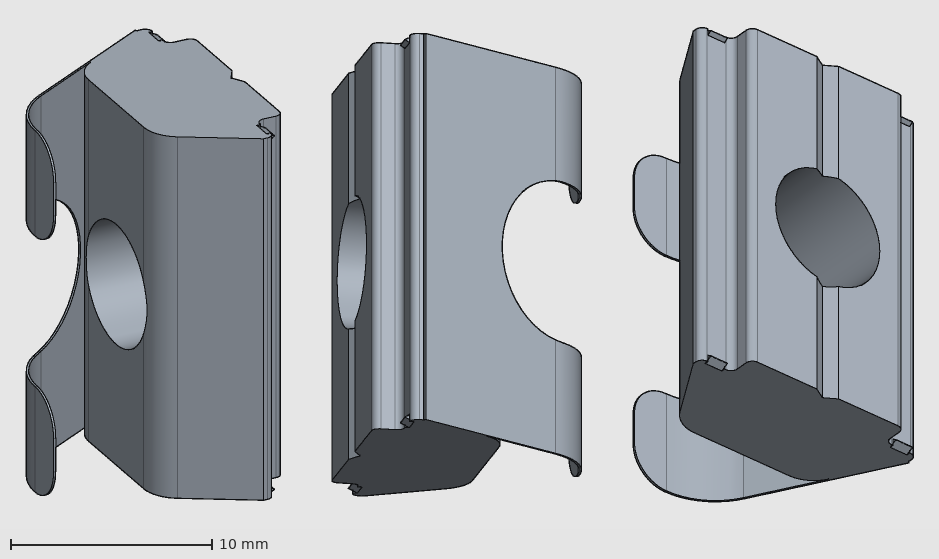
import cadquery as cq
import math

LENGTH = 20.0
HALF_WIDTH = 6.88
BODY_DEPTH = 6.82
STEP_DEPTH = 1.5
NECK_HALF_WIDTH = 4.88
FLANK_ANGLE = math.radians(60)
FRONT_HALF_WIDTH = 4.15
FRONT_RADIUS = 2.0
CORNER_RADIUS = 0.4
NOTCH_HALF_WIDTH = 0.7
NOTCH_DEPTH = 0.42
HOLE_DIAMETER = 6.65

BURR_WIDTH = 1.05
BURR_CENTRE_X = 5.9
BURR_INNER_Y = -1.72
BURR_TIP_Y = -1.25
BURR_TIP_DROP = 0.22
BURR_ROOT_DROP = 0.38

SPRING_THICKNESS = 0.12
SPRING_BEND_RADIUS = 4.0
SPRING_FRONT_Y = -11.8
SPRING_END_X = 2.92
SPRING_TOP_X = -6.85
WINDOW_RADIUS = 4.15
WINDOW_TOP_Y = -6.62
TAB_CORNER_RADIUS = 2.0

FLANK_SLOPE = math.tan(FLANK_ANGLE)
SIN_FLANK = math.sin(FLANK_ANGLE)
COS_FLANK = math.cos(FLANK_ANGLE)
CUT_MARGIN = 2.0
EDGE_TOLERANCE = 0.05


def left_flank_x(y):
    """X of the left flank plane at the given Y."""
    return -FRONT_HALF_WIDTH - (y + BODY_DEPTH) / FLANK_SLOPE


def make_body():
    flank_top_y = (HALF_WIDTH - FRONT_HALF_WIDTH) * FLANK_SLOPE - BODY_DEPTH
    right_side = [
        (NOTCH_HALF_WIDTH, 0),
        (NECK_HALF_WIDTH, 0),
        (NECK_HALF_WIDTH, -STEP_DEPTH),
        (HALF_WIDTH, -STEP_DEPTH),
        (HALF_WIDTH, flank_top_y),
        (FRONT_HALF_WIDTH, -BODY_DEPTH),
    ]
    left_side = [(-x, y) for x, y in reversed(right_side)]
    outline = [(0, -NOTCH_DEPTH)] + right_side + left_side
    body = cq.Workplane("XY").polyline(outline).close().extrude(LENGTH)

    def edges_at(half_width, y):
        return body.edges("|Z").filter(
            lambda e: math.hypot(abs(e.Center().x) - half_width, e.Center().y - y) < EDGE_TOLERANCE
        )

    body = edges_at(FRONT_HALF_WIDTH, -BODY_DEPTH).fillet(FRONT_RADIUS)
    for half_width, y in right_side[1:4]:
        body = edges_at(half_width, y).fillet(CORNER_RADIUS)
    return body


def make_hole():
    return (
        cq.Workplane("XZ", origin=(0, 0, LENGTH / 2))
        .circle(HOLE_DIAMETER / 2)
        .extrude(BODY_DEPTH)
    )


def add_burrs(body):
    """Cut the slope and raise the lip at both ends of both shoulders."""
    slope_start = (BURR_INNER_Y, LENGTH)
    tip = (BURR_TIP_Y, LENGTH - BURR_TIP_DROP)
    slope_cut = [slope_start, (BURR_TIP_Y, LENGTH), tip]
    lip = [slope_start, tip, (-STEP_DEPTH, LENGTH - BURR_ROOT_DROP)]
    for side in (-1, 1):
        plane = cq.Workplane("YZ", origin=(side * BURR_CENTRE_X - BURR_WIDTH / 2, 0, 0))
        cutter = plane.polyline(slope_cut).close().extrude(BURR_WIDTH)
        raised = plane.polyline(lip).close().extrude(BURR_WIDTH)
        mid_height = (0, 0, LENGTH / 2)
        body = body.cut(cutter).union(raised)
        body = body.cut(cutter.mirror("XY", mid_height)).union(raised.mirror("XY", mid_height))
    return body


def make_spring_strip():
    """Full-length strip: flank leg, 60 degree bend and flat front tab."""
    inner_radius = SPRING_BEND_RADIUS - SPRING_THICKNESS
    centre_y = SPRING_FRONT_Y + SPRING_BEND_RADIUS
    bend_inner_y = centre_y - inner_radius * COS_FLANK
    centre_x = left_flank_x(bend_inner_y) + inner_radius * SIN_FLANK

    def bend_point(radius, angle):
        return (centre_x - radius * math.sin(angle), centre_y - radius * math.cos(angle))

    top_y = -BODY_DEPTH - (SPRING_TOP_X + FRONT_HALF_WIDTH) * FLANK_SLOPE
    outer_top = (SPRING_TOP_X - SPRING_THICKNESS * SIN_FLANK, top_y - SPRING_THICKNESS * COS_FLANK)
    return (
        cq.Workplane("XY")
        .moveTo(SPRING_TOP_X, top_y)
        .lineTo(*bend_point(inner_radius, FLANK_ANGLE))
        .threePointArc(bend_point(inner_radius, FLANK_ANGLE / 2), bend_point(inner_radius, 0))
        .lineTo(SPRING_END_X, SPRING_FRONT_Y + SPRING_THICKNESS)
        .lineTo(SPRING_END_X, SPRING_FRONT_Y)
        .lineTo(*bend_point(SPRING_BEND_RADIUS, 0))
        .threePointArc(
            bend_point(SPRING_BEND_RADIUS, FLANK_ANGLE / 2),
            bend_point(SPRING_BEND_RADIUS, FLANK_ANGLE),
        )
        .lineTo(*outer_top)
        .close()
        .extrude(LENGTH)
    )


def make_window():
    """Round-ended cutter, square to the flank, that opens toward the tab."""
    centre_y = WINDOW_TOP_Y - WINDOW_RADIUS * SIN_FLANK
    start_x = left_flank_x(centre_y)
    plane = cq.Plane(
        origin=(start_x, centre_y, LENGTH / 2),
        xDir=(COS_FLANK, -SIN_FLANK, 0),
        normal=(SIN_FLANK, COS_FLANK, 0),
    )
    round_end = cq.Workplane(plane).circle(WINDOW_RADIUS).extrude(CUT_MARGIN, both=True)
    opening = cq.Workplane("XY").box(
        SPRING_END_X - start_x + CUT_MARGIN,
        centre_y - SPRING_FRONT_Y + CUT_MARGIN,
        2 * WINDOW_RADIUS,
        centered=(False, False, True),
    ).translate((start_x, SPRING_FRONT_Y - CUT_MARGIN, LENGTH / 2))
    return round_end.union(opening)


def make_spring():
    spring = make_spring_strip().cut(make_window())
    return spring.edges("|Y").edges(">X").fillet(TAB_CORNER_RADIUS)


body = add_burrs(make_body()).cut(make_hole())
result = body.union(make_spring())